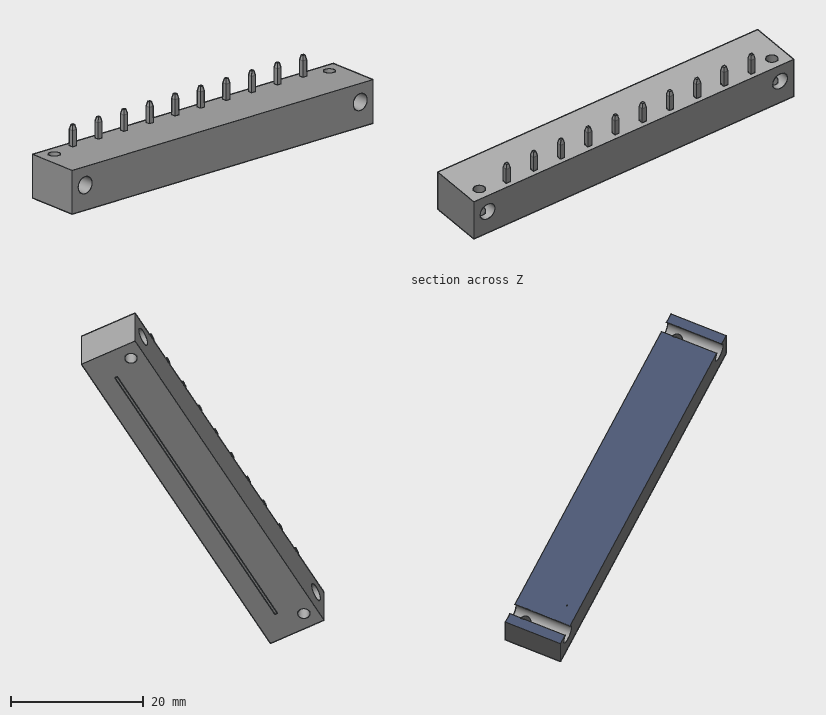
import cadquery as cq

body_width = 9.2
body_length = 59.8
body_height = 7.05

pin_count = 10
pin_pitch = 5.1
pin_width = 0.8
pin_height = 3.4
pin_tip_width = 0.4
pin_tip_height = 0.8
pin_row_inset = 1.2

hole_end_inset = 2.6
vertical_hole_diameter = 1.85
vertical_hole_inset = 2.1
cross_hole_diameter = 2.75
cross_hole_depth = 3.0

rib_width = 0.4
rib_height = 0.2
rib_offset = 1.15
rib_length = 50.6

side_x = -body_width / 2
hole_y = body_length / 2 - hole_end_inset


def make_pin():
    """Square pin with a tapered tip, standing on Z = 0."""
    shank_height = pin_height - pin_tip_height
    shank = cq.Workplane("XY").rect(pin_width, pin_width).extrude(shank_height)
    tip = (
        cq.Workplane("XY", origin=(0, 0, shank_height))
        .rect(pin_width, pin_width)
        .workplane(offset=pin_tip_height)
        .rect(pin_tip_width, pin_tip_width)
        .loft(ruled=True)
    )
    return shank.union(tip)


result = cq.Workplane("XY").box(body_width, body_length, body_height, centered=(True, True, False))

rib = cq.Workplane("XY").box(rib_width, rib_length, rib_height, centered=(True, True, False))
result = result.union(rib.translate((rib_offset, 0, -rib_height)))

for y in (-hole_y, hole_y):
    vertical_hole = (
        cq.Workplane("XY")
        .center(side_x + vertical_hole_inset, y)
        .circle(vertical_hole_diameter / 2)
        .extrude(body_height)
    )
    cross_hole = (
        cq.Workplane("YZ", origin=(side_x, 0, 0))
        .center(y, body_height - cross_hole_depth)
        .circle(cross_hole_diameter / 2)
        .extrude(body_width)
    )
    result = result.cut(vertical_hole).cut(cross_hole)

pin = make_pin()
for index in range(pin_count):
    y = (index - (pin_count - 1) / 2) * pin_pitch
    result = result.union(pin.translate((side_x + pin_row_inset, y, body_height)))